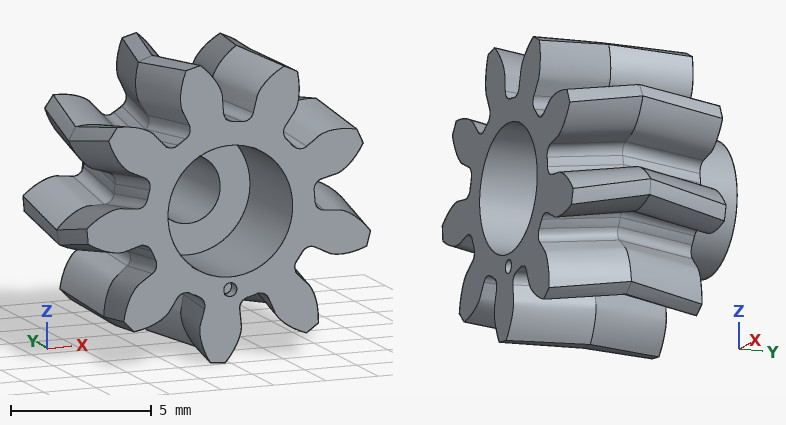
import cadquery as cq
import math

MODULE = 1.0
TOOTH_COUNT = 9
PRESSURE_ANGLE = math.radians(20)
HELIX_ANGLE = math.radians(10)
FIRST_TOOTH_ANGLE = 25.0
ROOT_FILLET = 0.38 * MODULE

PITCH_RADIUS = MODULE * TOOTH_COUNT / 2
TIP_RADIUS = PITCH_RADIUS + MODULE
ROOT_RADIUS = PITCH_RADIUS - 1.25 * MODULE
BASE_RADIUS = PITCH_RADIUS * math.cos(PRESSURE_ANGLE)
TOOTH_PITCH = 2 * math.pi / TOOTH_COUNT

GEAR_WIDTH = 6.0
HALF_WIDTH = GEAR_WIDTH / 2
HUB_DIAMETER = 5.0
HUB_LENGTH = 1.8
SHAFT_HOLE_DIAMETER = 2.5
BORE_DIAMETER = 4.78
BORE_DEPTH = 4.0
MARK_DIAMETER = 0.5
MARK_DEPTH = 0.5
MARK_OFFSET = 2.85

HALF_TWIST = math.degrees(HALF_WIDTH * math.tan(HELIX_ANGLE) / PITCH_RADIUS)
FLANK_POINTS = 12


def polar(radius, angle):
    return (radius * math.cos(angle), radius * math.sin(angle))


def involute_angle(radius):
    """Polar angle swept by the involute out to a radius; zero inside the base circle."""
    pressure = math.acos(min(1.0, BASE_RADIUS / radius))
    return math.tan(pressure) - pressure


def tooth_half_angle(radius):
    """Half the angular thickness of a tooth; constant inside the base circle."""
    return TOOTH_PITCH / 4 + involute_angle(PITCH_RADIUS) - involute_angle(radius)


def gear_outline():
    """Rear face outline: flanks radial below the base circle and involute above it, with filleted roots."""
    base_half = tooth_half_angle(BASE_RADIUS)
    tip_half = tooth_half_angle(TIP_RADIUS)

    fillet_centre_radius = ROOT_RADIUS + ROOT_FILLET
    fillet_angle = math.asin(ROOT_FILLET / fillet_centre_radius)
    fillet_top_radius = fillet_centre_radius * math.cos(fillet_angle)
    fillet_centre_half = base_half + fillet_angle

    fillet_bisector = math.pi / 4 - fillet_angle / 2

    step = (TIP_RADIUS - fillet_top_radius) / FLANK_POINTS
    flank_radii = [fillet_top_radius + step * i for i in range(1, FLANK_POINTS + 1)]

    def fillet_middle(tooth, side):
        """Middle of the fillet on the clockwise (-1) or anticlockwise (+1) side of a tooth."""
        centre_angle = tooth + side * fillet_centre_half
        centre_x, centre_y = polar(fillet_centre_radius, centre_angle)
        offset_x, offset_y = polar(ROOT_FILLET, centre_angle + math.pi + side * fillet_bisector)
        return (centre_x + offset_x, centre_y + offset_y)

    first_tooth = math.radians(FIRST_TOOTH_ANGLE)
    outline = cq.Workplane("XZ", origin=(0, HALF_WIDTH, 0))
    outline = outline.moveTo(*polar(ROOT_RADIUS, first_tooth - fillet_centre_half))
    for index in range(TOOTH_COUNT):
        tooth = first_tooth + index * TOOTH_PITCH
        rising = [polar(r, tooth - tooth_half_angle(r)) for r in flank_radii]
        falling = [polar(r, tooth + tooth_half_angle(r)) for r in reversed(flank_radii[:-1])]
        falling.append(polar(fillet_top_radius, tooth + base_half))
        next_root = tooth + TOOTH_PITCH - fillet_centre_half
        outline = (
            outline
            .threePointArc(fillet_middle(tooth, -1), polar(fillet_top_radius, tooth - base_half))
            .spline(rising, includeCurrent=True)
            .threePointArc(polar(TIP_RADIUS, tooth), polar(TIP_RADIUS, tooth + tip_half))
            .spline(falling, includeCurrent=True)
            .threePointArc(fillet_middle(tooth, 1), polar(ROOT_RADIUS, tooth + fillet_centre_half))
            .threePointArc(
                polar(ROOT_RADIUS, tooth + TOOTH_PITCH / 2),
                polar(ROOT_RADIUS, next_root),
            )
        )
    return outline.close()


def herringbone_body():
    """Two opposite helical halves, mirrored about the mid plane at y = 0."""
    rear_half = gear_outline().twistExtrude(HALF_WIDTH, HALF_TWIST)
    front_half = rear_half.mirror("XZ")
    return rear_half.union(front_half)


def cylinder(diameter, front_y, length):
    """Cylinder on the gear axis, running from front_y towards +Y."""
    return cq.Workplane("XZ", origin=(0, front_y, 0)).circle(diameter / 2).extrude(-length)


def herringbone_gear():
    hub = cylinder(HUB_DIAMETER, HALF_WIDTH, HUB_LENGTH)
    shaft_hole = cylinder(SHAFT_HOLE_DIAMETER, -HALF_WIDTH, GEAR_WIDTH + HUB_LENGTH)
    bore = cylinder(BORE_DIAMETER, -HALF_WIDTH, BORE_DEPTH)
    mark = cylinder(MARK_DIAMETER, -HALF_WIDTH, MARK_DEPTH).translate((0, 0, -MARK_OFFSET))
    return herringbone_body().union(hub).cut(shaft_hole).cut(bore).cut(mark)


result = herringbone_gear()